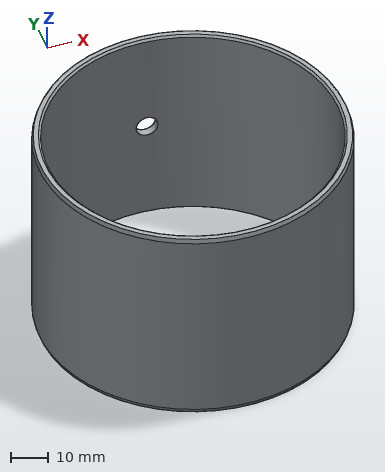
import cadquery as cq

outer_diameter = 85.0
inner_diameter = 80.2
length = 60.0

outer_chamfer_length = 1.2
outer_chamfer_depth = 0.4
inner_chamfer = 0.6

oil_hole_diameter = 5.95

outer_radius = outer_diameter / 2
inner_radius = inner_diameter / 2
half_length = length / 2


def bushing_wall():
    """Revolve the chamfered wall section about the Z axis."""
    section = (
        cq.Workplane("XZ")
        .moveTo(inner_radius, -half_length + inner_chamfer)
        .lineTo(inner_radius + inner_chamfer, -half_length)
        .lineTo(outer_radius - outer_chamfer_depth, -half_length)
        .lineTo(outer_radius, -half_length + outer_chamfer_length)
        .lineTo(outer_radius, half_length - outer_chamfer_length)
        .lineTo(outer_radius - outer_chamfer_depth, half_length)
        .lineTo(inner_radius + inner_chamfer, half_length)
        .lineTo(inner_radius, half_length - inner_chamfer)
        .close()
    )
    return section.revolve(360, (0, 0, 0), (0, 1, 0))


def oil_hole():
    """Cylinder from the axis out past the +Y wall."""
    return cq.Workplane("XZ").circle(oil_hole_diameter / 2).extrude(-outer_diameter)


result = bushing_wall().cut(oil_hole())